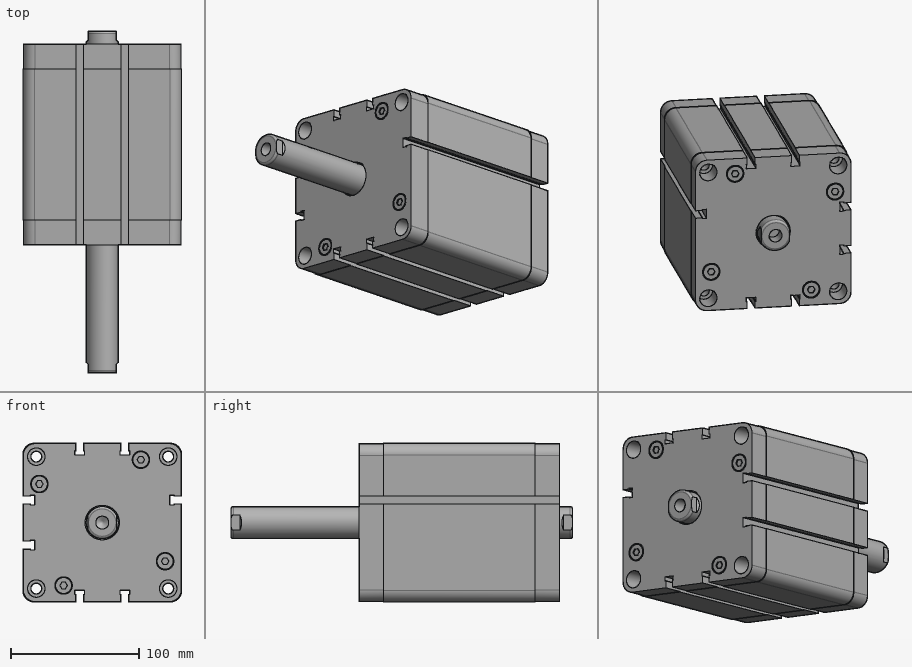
import cadquery as cq

tube_side = 124.0
cover_side = 123.0
corner_radius = 9.0
body_length = 156.5
cover_length = 19.2
front_rod_length = 100.0
rear_rod_length = 10.0
overall_length = front_rod_length + body_length + rear_rod_length
body_front = -overall_length / 2 + front_rod_length
body_rear = body_front + body_length

slot_offset = 17.5
slot_mouth = 6.0
slot_floor_width = 7.5
slot_floor_height = 52.8
slot_step_height = 56.0

mount_offset = 51.5
mount_diameter = 8.3
mount_counterbore = 13.5
mount_counterbore_depth = cover_length

screw_near = 30.0
screw_far = 49.0
screw_recess = 13.5
screw_head = 12.5
screw_recess_depth = 1.3
socket_across_corners = 5.9
socket_depth = 1.0

rod_diameter = 25.0
rod_rounding = 1.9
rod_clearance = 27.0
rod_clearance_depth = 2.7
flat_width = 22.0
flat_length = 7.0
rod_bore = 10.0
rod_bore_depth = 16.0
rod_bore_tip = 3.0


def block(side, y_start, length):
    """Square bar along Y with rounded long edges."""
    bar = cq.Workplane("XY").box(side, length, side, centered=(True, False, True))
    return bar.edges("|Y").fillet(corner_radius).translate((0, y_start, 0))


def cylinder(diameter, y_start, length, x=0, z=0):
    """Round bar along Y, starting at y_start and running towards +Y."""
    return cq.Workplane("XZ", origin=(x, y_start, z)).circle(diameter / 2).extrude(-length)


def at_both_ends(feature):
    """The feature at the -Y end of the body and its mirror image at the +Y end."""
    middle = (0, (body_front + body_rear) / 2, 0)
    return feature.union(feature.mirror("XZ", middle))


def slot(offset, turn):
    """Slot in the +Z side at X = offset, turned about the Y axis."""
    outer_height = tube_side / 2
    mouth_half = slot_mouth / 2
    floor_half = slot_floor_width / 2
    profile = [
        (offset - mouth_half, outer_height),
        (offset - mouth_half, slot_step_height),
        (offset - floor_half, slot_step_height),
        (offset - floor_half, slot_floor_height),
        (offset + floor_half, slot_floor_height),
        (offset + floor_half, slot_step_height),
        (offset + mouth_half, slot_step_height),
        (offset + mouth_half, outer_height),
    ]
    cutter = cq.Workplane("XZ", origin=(0, body_front, 0)).polyline(profile).close().extrude(-body_length)
    return cutter.rotate((0, 0, 0), (0, 1, 0), turn)


def mounting_hole(x, z):
    """Through hole counterbored in both covers."""
    counterbore = cylinder(mount_counterbore, body_front, mount_counterbore_depth, x, z)
    return at_both_ends(counterbore).union(cylinder(mount_diameter, body_front, body_length, x, z))


def screw_gap(x, z):
    """Ring gap around a cover screw head, with the hexagon socket in the head."""
    recess = cylinder(screw_recess, body_front, screw_recess_depth, x, z)
    head = cylinder(screw_head, body_front, screw_recess_depth, x, z)
    socket = cq.Workplane("XZ").polygon(6, socket_across_corners).extrude(-socket_depth)
    socket = socket.translate((x, body_front, z))
    return at_both_ends(recess.cut(head).union(socket))


def rod_flat(side):
    """Wrench flat at the -Y end of the rod with a 45 degree run-out; side is -1 or 1."""
    end = -overall_length / 2
    flat_x = flat_width / 2
    clear_of_rod = rod_diameter / 2
    profile = [
        (side * flat_x, end),
        (side * flat_x, end + flat_length),
        (side * (flat_x + clear_of_rod), end + flat_length + clear_of_rod),
        (side * (flat_x + clear_of_rod), end),
    ]
    return cq.Workplane("XY").polyline(profile).close().extrude(rod_diameter / 2, both=True)


def rod_end_bore():
    """Blind hole with a conical bottom in the -Y end of the rod."""
    radius = rod_bore / 2
    profile = [(0, 0), (radius, 0), (radius, rod_bore_depth), (0, rod_bore_depth + rod_bore_tip)]
    bore = cq.Workplane("XY").polyline(profile).close().revolve(360, (0, 0, 0), (0, 1, 0))
    return bore.translate((0, -overall_length / 2, 0))


def piston_rod():
    """Rod through the whole body with a rounded edge, two flats and a bore at each end."""
    rod = cylinder(rod_diameter, -overall_length / 2, overall_length)
    rod = rod.faces("<Y or >Y").edges().fillet(rod_rounding)
    for cutter in (rod_flat(-1), rod_flat(1), rod_end_bore()):
        rod = rod.cut(cutter).cut(cutter.mirror("XZ"))
    return rod


body = block(cover_side, body_front, body_length)
body = body.union(block(tube_side, body_front + cover_length, body_length - 2 * cover_length))

for slot_x in (-slot_offset, slot_offset):
    for turn in (0, 180, -90):
        body = body.cut(slot(slot_x, turn))
body = body.cut(slot(-slot_offset, 90))

for mount_x in (-mount_offset, mount_offset):
    for mount_z in (-mount_offset, mount_offset):
        body = body.cut(mounting_hole(mount_x, mount_z))

screw_x, screw_z = screw_near, screw_far
for _ in range(4):
    body = body.cut(screw_gap(screw_x, screw_z))
    screw_x, screw_z = screw_z, -screw_x

body = body.cut(at_both_ends(cylinder(rod_clearance, body_front, rod_clearance_depth)))
result = body.union(piston_rod())